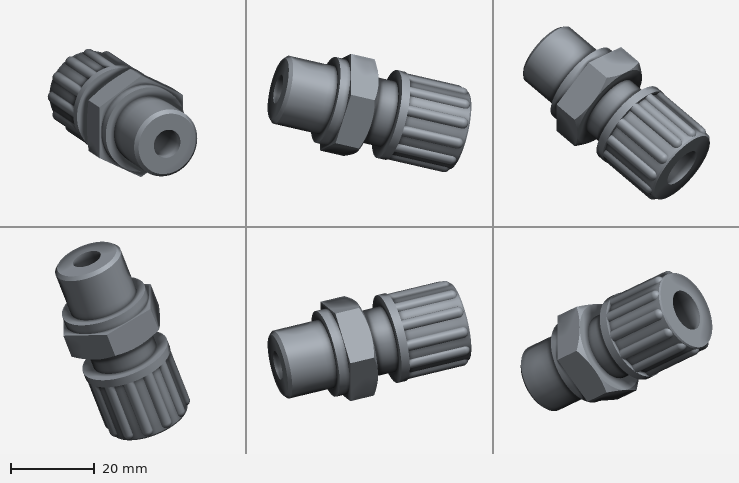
import cadquery as cq
import math

collar_start = 15.92
collar_end = 17.95
hex_start = 24.02
hex_end = 31.0
flange_end = 33.5
total_length = 45.5

nut_diameter = 19.47
nut_chamfer_length = 0.4
nut_chamfer_depth = 0.25
collar_diameter = 21.5
rib_count = 12
rib_radius = 1.4
rib_tip = 0.4
rib_top_radius = 10.7

neck_diameter = 16.0
hex_across_flats = 22.0
hex_chamfer_angle = 30.0
flange_diameter = 21.0
spigot_diameter = 16.65
spigot_chamfer = 0.8

socket_diameter = 10.0
seat_diameter = 8.0
through_diameter = 7.0


def cylinder(start, end, diameter):
    """Round bar along X between two stations."""
    return cq.Workplane("YZ", origin=(start, 0, 0)).circle(diameter / 2).extrude(end - start)


def make_rib(angle):
    """Round rib along the nut with a ball-shaped free end."""
    centre_radius = rib_top_radius - rib_radius
    ball_station = rib_tip + rib_radius
    bar = cylinder(ball_station, collar_start, 2 * rib_radius)
    ball = cq.Workplane("XY").sphere(rib_radius).translate((ball_station, 0, 0))
    return bar.union(ball).translate((0, 0, centre_radius)).rotate((0, 0, 0), (1, 0, 0), angle)


def make_nut():
    nut = cylinder(0, collar_start, nut_diameter).faces("<X").chamfer(nut_chamfer_length, nut_chamfer_depth)
    for index in range(rib_count):
        nut = nut.union(make_rib(index * 360 / rib_count))
    return nut.union(cylinder(collar_start, collar_end, collar_diameter))


def make_hexagon():
    """Hexagon with corners on Z, its nut-side corners turned to a cone."""
    corner_radius = hex_across_flats / 2 / math.cos(math.radians(30))
    flat_radius = hex_across_flats / 2
    chamfer_length = (corner_radius - flat_radius) * math.tan(math.radians(hex_chamfer_angle))
    hexagon = (
        cq.Workplane("YZ", origin=(hex_start, 0, 0))
        .polygon(6, 2 * corner_radius)
        .extrude(hex_end - hex_start)
        .rotate((0, 0, 0), (1, 0, 0), 90)
    )
    turned_envelope = (
        cq.Workplane("XY")
        .moveTo(hex_start, 0)
        .lineTo(hex_start, flat_radius)
        .lineTo(hex_start + chamfer_length, corner_radius)
        .lineTo(hex_end, corner_radius)
        .lineTo(hex_end, 0)
        .close()
        .revolve(360, (0, 0, 0), (1, 0, 0))
    )
    return hexagon.intersect(turned_envelope)


def make_spigot():
    return cylinder(flange_end, total_length, spigot_diameter).faces(">X").chamfer(spigot_chamfer)


neck = cylinder(collar_end, hex_start, neck_diameter)
flange = cylinder(hex_end, flange_end, flange_diameter)
solid_body = make_nut().union(neck).union(make_hexagon()).union(flange).union(make_spigot())

result = (
    solid_body
    .cut(cylinder(0, collar_end, socket_diameter))
    .cut(cylinder(collar_end, hex_start, seat_diameter))
    .cut(cylinder(hex_start, total_length, through_diameter))
)